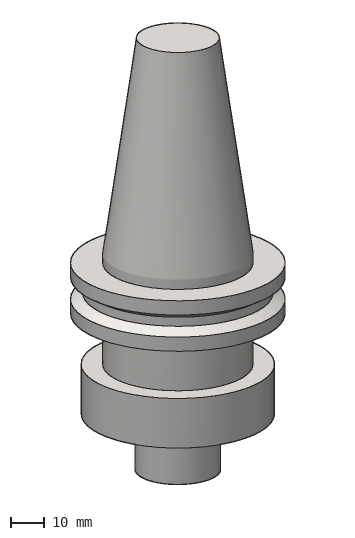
import cadquery as cq

total_height = 136.5

taper_tip_diameter = 24.6
body_diameter = 44.5
flange_diameter = 63.5
groove_diameter = 56.4
nut_diameter = 57.2
tool_diameter = 25.4

tool_height = 17.6
nut_height = 15.7
neck_height = 16.1
flange_height = 16.0
collar_height = 3.0

lower_rim_height = 4.5
upper_rim_height = 4.5
groove_floor_height = 2.9

nut_bottom = tool_height
neck_bottom = nut_bottom + nut_height
flange_bottom = neck_bottom + neck_height
flange_top = flange_bottom + flange_height
taper_bottom = flange_top + collar_height
groove_bottom = flange_bottom + lower_rim_height
groove_top = flange_top - upper_rim_height
groove_middle = (groove_bottom + groove_top) / 2


def cylinder(diameter, bottom, top):
    return cq.Workplane("XY").workplane(offset=bottom).circle(diameter / 2).extrude(top - bottom)


def taper_shank():
    """Conical shank narrowing from the collar to the flat tip."""
    profile = [
        (0, taper_bottom),
        (body_diameter / 2, taper_bottom),
        (taper_tip_diameter / 2, total_height),
        (0, total_height),
    ]
    return cq.Workplane("XZ").polyline(profile).close().revolve(360, (0, 0), (0, 1))


def flange():
    """Gripper flange with a sloped-wall groove around its rim."""
    rim = flange_diameter / 2
    floor = groove_diameter / 2
    profile = [
        (0, flange_bottom),
        (rim, flange_bottom),
        (rim, groove_bottom),
        (floor, groove_middle - groove_floor_height / 2),
        (floor, groove_middle + groove_floor_height / 2),
        (rim, groove_top),
        (rim, flange_top),
        (0, flange_top),
    ]
    return cq.Workplane("XZ").polyline(profile).close().revolve(360, (0, 0), (0, 1))


tool = cylinder(tool_diameter, 0, nut_bottom)
nut = cylinder(nut_diameter, nut_bottom, neck_bottom)
neck = cylinder(body_diameter, neck_bottom, flange_bottom)
collar = cylinder(body_diameter, flange_top, taper_bottom)

result = tool.union(nut).union(neck).union(flange()).union(collar).union(taper_shank())